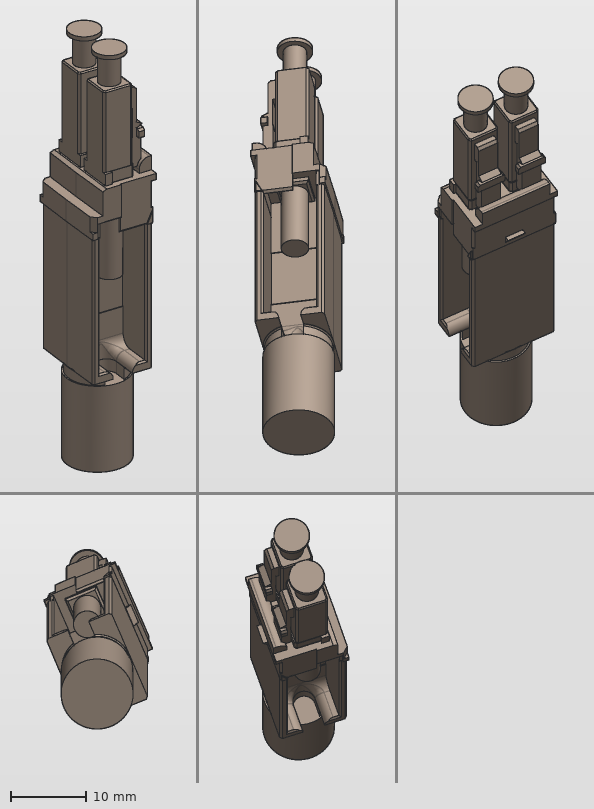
import cadquery as cq

TOTAL_LENGTH = 63.05
SLEEVE_TOP = 13.0
SHELL_BOTTOM = 14.8
FLOOR_TOP = 16.15
BOOT_BOTTOM = 28.95
SHELL_TOP = 36.75
CONNECTOR_BOTTOM = 38.15
COVER_UNDERSIDE = 39.0
SKIRT_TOP = 40.05
COVER_TOP = 43.95
FLANGE_TOP = 45.7
CONNECTOR_TOP = 57.95

SLEEVE_RADIUS = 4.8
NECK_RADIUS = 4.55
NECK_COLLAR_RADIUS = 4.7
NECK_COLLAR_HEIGHT = 0.25

SHELL_HALF_WIDTH = 6.35
SHELL_BACK = 4.7
SHELL_SIDE_FRONT = -4.65
SHELL_PEAK_FRONT = -4.7
SHELL_EDGE_CHAMFER = 0.3
BAY_BACK = 3.6
BAY_FRONT = -3.6
SEPTUM_HALF = 0.75
FLOOR_FILLET = 1.65
PANEL_BOTTOM = 21.8
PANEL_TOP = 30.6
PANEL_DEPTH = 0.1
SLOT_HALF_WIDTH = 1.5
SLOT_END_GAP = 0.05
SLOT_FLARE = 1.25
BAY_EDGE_BEVEL = 0.25
TONGUE_FRONT = -4.05

COVER_WIDTH = 13.2
COVER_FRONT_HALF_WIDTH = COVER_WIDTH / 2
COVER_STEP_Y = -0.4
COVER_SIDE_FRONT = -3.3
COVER_PEAK_FRONT = -3.35
COVER_TOP_CHAMFER_DROP = 0.3
COVER_TOP_CHAMFER_DEPTH = 0.7
SKIRT_SIDE_FRONT = -4.85
SKIRT_PEAK_FRONT = -4.9
SKIRT_CORNER = 0.75
SKIRT_CORNER_BOTTOM = 37.75
SIDE_PLATE_BOTTOM = 36.6
SIDE_PLATE_THICKNESS = 0.4
SIDE_PLATE_CHAMFER = 0.3
LIP_BACK = 5.3
LIP_BOTTOM = 43.0
BARB_HALF_WIDTH = 1.3
BARB_BACK = 5.4
BARB_TOP = 38.45
BARB_BOTTOM = 37.4
SIDE_TAB_FRONT = 3.7
SIDE_TAB_BACK = 4.55

TRIGGER_HALF_WIDTH = 5.2
TRIGGER_FRONT = 3.35
TRIGGER_TOP = 46.1
TRIGGER_ROUND = 1.6

PITCH = 6.25
AXES_X = (-PITCH / 2, PITCH / 2)
AXIS_Y = -0.095
CONNECTOR_SIZE = 4.55
CONNECTOR_EDGE_CHAMFER = 0.3
CONNECTOR_END_CHAMFER = 0.2
FLANGE_WIDTH = 5.35
FLANGE_DEPTH = 1.1
FOOT_BACK_STEP = 0.2
FOOT_SIDE_STEP = 0.05
BOOT_RADIUS = 1.8
CAP_PIN_RADIUS = 1.6
CAP_HEAD_DIAMETER = 4.7
CAP_HEAD_HEIGHT = 0.6

LATCH_WIDTH = 2.95
LATCH_BACK = 3.3
LATCH_FRONT = 2.65
LATCH_TOP = 56.9
LATCH_TIP_CHAMFER = 0.4
LATCH_ROOT_BOTTOM = 53.65
LATCH_RAMP_TOP = 51.45
LUG_WIDTH = 4.15
LUG_BACK = 4.15
LUG_TOP = 50.55
LUG_CHAMFER = 0.3
LUG_PEAK = 51.0
GRIP_TOP = 49.3
GRIP_BOTTOM = 44.75
GRIP_BACK = 4.0
GRIP_FRONT = 2.6


def box(x0, x1, y0, y1, z0, z1):
    """Block given by its limits along each axis."""
    return cq.Workplane("XY").box(x1 - x0, y1 - y0, z1 - z0, centered=False).translate((x0, y0, z0))


def cylinder(radius, z0, z1, x=0.0, y=0.0):
    """Upright cylinder between two levels."""
    return cq.Workplane("XY", origin=(x, y, z0)).circle(radius).extrude(z1 - z0)


def side_profile(points, half_width, x=0.0):
    """Prism with a (y, z) outline, centred on x."""
    outline = cq.Workplane("YZ", origin=(x, 0, 0)).polyline(points).close()
    return outline.extrude(half_width, both=True)


def peaked_block(half_width, back, side_front, peak_front, z0, z1):
    """Block whose front face is drafted to a slight ridge at x = 0."""
    plan = [(-half_width, back), (-half_width, side_front), (0, peak_front),
            (half_width, side_front), (half_width, back)]
    return cq.Workplane("XY", origin=(0, 0, z0)).polyline(plan).close().extrude(z1 - z0)


def both_sides(shape):
    """The shape together with its mirror image across x = 0."""
    return shape.union(shape.mirror("YZ"))


def make_sleeve():
    return cylinder(SLEEVE_RADIUS, 0, SLEEVE_TOP)


def side_bay():
    """Open bay on the -X side, with a floor curving up into the septum."""
    bay = box(-SHELL_HALF_WIDTH, -SEPTUM_HALF, BAY_FRONT, BAY_BACK, FLOOR_TOP, SHELL_TOP)
    return bay.edges("|Y and >X and <Z").fillet(FLOOR_FILLET)


def label_panel():
    """Shallow recess in the septum."""
    return box(-SHELL_HALF_WIDTH, -SEPTUM_HALF + PANEL_DEPTH, BAY_FRONT, BAY_BACK, PANEL_BOTTOM, PANEL_TOP)


def bay_bevel():
    """Bevel around the mouth of the -X bay."""
    depth = BAY_BACK - BAY_FRONT
    height = SHELL_TOP - FLOOR_TOP
    return (cq.Workplane("YZ", origin=(-SHELL_HALF_WIDTH, 0, 0))
            .center((BAY_FRONT + BAY_BACK) / 2, (FLOOR_TOP + SHELL_TOP) / 2)
            .rect(depth + 2 * BAY_EDGE_BEVEL, height + 2 * BAY_EDGE_BEVEL)
            .workplane(offset=BAY_EDGE_BEVEL).rect(depth, height).loft())


def cable_slot():
    """Round-ended slot that lets a cable leave the -X bay through floor and neck."""
    end_x = -SEPTUM_HALF - SLOT_HALF_WIDTH - SLOT_END_GAP
    top = FLOOR_TOP + FLOOR_FILLET
    straight = box(-SHELL_HALF_WIDTH, end_x, -SLOT_HALF_WIDTH, SLOT_HALF_WIDTH, SLEEVE_TOP, top)
    return straight.union(cylinder(SLOT_HALF_WIDTH, SLEEVE_TOP, top, end_x))


def round_slot_rims(shell):
    """Round the upper rims of both slots where they open into the bays."""
    margin = 0.05
    rim_zone = cq.selectors.BoxSelector(
        (-SHELL_HALF_WIDTH + margin, -SLOT_HALF_WIDTH - margin, FLOOR_TOP - margin),
        (SHELL_HALF_WIDTH - margin, SLOT_HALF_WIDTH + margin, FLOOR_TOP + FLOOR_FILLET))
    return shell.edges(rim_zone).edges("not |Z").fillet(SLOT_FLARE)


def make_neck():
    """Slotted ring between sleeve and shell, flared where it meets the shell."""
    collar_flare = NECK_COLLAR_RADIUS - NECK_RADIUS
    neck = cylinder(NECK_RADIUS, SLEEVE_TOP, SHELL_BOTTOM)
    collar = cylinder(NECK_COLLAR_RADIUS, SHELL_BOTTOM - NECK_COLLAR_HEIGHT, SHELL_BOTTOM)
    collar = collar.faces("<Z").chamfer(collar_flare)
    return neck.union(collar).cut(both_sides(cable_slot()))


def make_shell():
    shell = peaked_block(SHELL_HALF_WIDTH, SHELL_BACK, SHELL_SIDE_FRONT, SHELL_PEAK_FRONT,
                         SHELL_BOTTOM, SHELL_TOP)
    shell = shell.edges("|Z").edges("<X or >X").chamfer(SHELL_EDGE_CHAMFER)
    shell = shell.cut(both_sides(side_bay())).cut(both_sides(cable_slot()))
    shell = round_slot_rims(shell)
    shell = shell.cut(both_sides(label_panel())).cut(both_sides(bay_bevel()))
    septum_top = box(-SEPTUM_HALF, SEPTUM_HALF, BAY_FRONT, BAY_BACK, SHELL_TOP, COVER_UNDERSIDE)
    tongue = box(-SHELL_HALF_WIDTH, SHELL_HALF_WIDTH, TONGUE_FRONT, BAY_FRONT, SHELL_TOP, COVER_UNDERSIDE)
    return shell.union(septum_top).union(tongue)


def cover_block():
    """Main block; its front half is slightly wider than its back half."""
    back = box(-SHELL_HALF_WIDTH, SHELL_HALF_WIDTH, COVER_STEP_Y, SHELL_BACK, COVER_UNDERSIDE, COVER_TOP)
    back = back.edges("|Z and >Y").chamfer(SHELL_EDGE_CHAMFER)
    front = peaked_block(COVER_FRONT_HALF_WIDTH, COVER_STEP_Y, COVER_SIDE_FRONT, COVER_PEAK_FRONT,
                         COVER_UNDERSIDE, COVER_TOP)
    bevel = side_profile(
        [(COVER_PEAK_FRONT, COVER_TOP - COVER_TOP_CHAMFER_DROP),
         (COVER_PEAK_FRONT, COVER_TOP),
         (COVER_PEAK_FRONT + COVER_TOP_CHAMFER_DEPTH, COVER_TOP)],
        COVER_FRONT_HALF_WIDTH)
    lip = box(-SHELL_HALF_WIDTH, SHELL_HALF_WIDTH, BAY_BACK, LIP_BACK, LIP_BOTTOM, COVER_TOP)
    return back.union(front).cut(bevel).union(lip)


def skirt():
    """Front apron over the shell, its corners cut off above a square foot."""
    apron = peaked_block(COVER_FRONT_HALF_WIDTH, TONGUE_FRONT, SKIRT_SIDE_FRONT, SKIRT_PEAK_FRONT,
                         SHELL_TOP, SKIRT_TOP)
    corner = (cq.Workplane("XY", origin=(0, 0, SKIRT_CORNER_BOTTOM))
              .polyline([(-COVER_FRONT_HALF_WIDTH, SKIRT_SIDE_FRONT + SKIRT_CORNER),
                         (-COVER_FRONT_HALF_WIDTH, SKIRT_PEAK_FRONT),
                         (-COVER_FRONT_HALF_WIDTH + SKIRT_CORNER, SKIRT_PEAK_FRONT)])
              .close().extrude(SKIRT_TOP - SKIRT_CORNER_BOTTOM))
    shelf = box(-COVER_FRONT_HALF_WIDTH, COVER_FRONT_HALF_WIDTH, TONGUE_FRONT, COVER_SIDE_FRONT,
                COVER_UNDERSIDE, SKIRT_TOP)
    return apron.cut(both_sides(corner)).union(shelf)


def side_plate():
    """Thin plate closing the top of the -X bay, bevelled along its lower edge."""
    plate = box(-SHELL_HALF_WIDTH, -SHELL_HALF_WIDTH + SIDE_PLATE_THICKNESS, COVER_STEP_Y, BAY_BACK,
                SIDE_PLATE_BOTTOM, COVER_UNDERSIDE)
    return plate.edges("<X and <Z").chamfer(SIDE_PLATE_CHAMFER)


def side_tab():
    """Small catch wedge on the -X side near the back."""
    return (cq.Workplane("YZ", origin=(-COVER_FRONT_HALF_WIDTH, 0, 0))
            .polyline([(SIDE_TAB_BACK, SHELL_TOP), (SIDE_TAB_FRONT, SHELL_TOP),
                       (SIDE_TAB_BACK, BARB_TOP)])
            .close().extrude(COVER_FRONT_HALF_WIDTH - SHELL_HALF_WIDTH))


def trigger_bar():
    """Push bar across both latches, rounded towards them."""
    bar = box(-TRIGGER_HALF_WIDTH, TRIGGER_HALF_WIDTH, TRIGGER_FRONT, LIP_BACK, COVER_TOP, TRIGGER_TOP)
    return bar.edges("<Y and >Z").fillet(TRIGGER_ROUND)


def square_block(x, z0, z1):
    """Block with the connector's square section, on the connector axis at x."""
    side = CONNECTOR_SIZE
    return cq.Workplane("XY", origin=(x, AXIS_Y, z0)).rect(side, side).extrude(z1 - z0)


def make_cover():
    back_wall = box(-SHELL_HALF_WIDTH, SHELL_HALF_WIDTH, BAY_BACK, SHELL_BACK, SHELL_TOP, COVER_UNDERSIDE)
    barb = side_profile([(SHELL_BACK, BARB_TOP), (BARB_BACK, BARB_TOP), (SHELL_BACK, BARB_BOTTOM)],
                        BARB_HALF_WIDTH)
    cover = cover_block().union(skirt()).union(back_wall).union(barb)
    cover = cover.union(both_sides(side_plate())).union(both_sides(side_tab())).union(trigger_bar())
    for x in AXES_X:
        cover = cover.cut(square_block(x, SHELL_TOP, COVER_TOP))
    return cover


def latch(x):
    """Flexible lever with two side lugs and a thicker grip at its free end."""
    root_y = AXIS_Y + CONNECTOR_SIZE / 2
    arm = side_profile(
        [(root_y, LATCH_TOP), (LATCH_BACK - LATCH_TIP_CHAMFER, LATCH_TOP),
         (LATCH_BACK, LATCH_TOP - LATCH_TIP_CHAMFER), (LATCH_BACK, LATCH_RAMP_TOP),
         (LUG_BACK, LUG_PEAK), (LATCH_BACK, LUG_TOP), (LATCH_BACK, GRIP_TOP),
         (LATCH_FRONT, GRIP_TOP), (LATCH_FRONT, LATCH_ROOT_BOTTOM), (root_y, LATCH_ROOT_BOTTOM)],
        LATCH_WIDTH / 2, x)
    lugs = box(x - LUG_WIDTH / 2, x + LUG_WIDTH / 2, LATCH_BACK, LUG_BACK, GRIP_TOP, LUG_TOP)
    lugs = lugs.edges("|Y and >Z").chamfer(LUG_CHAMFER)
    grip = box(x - LATCH_WIDTH / 2, x + LATCH_WIDTH / 2, GRIP_FRONT, GRIP_BACK, GRIP_BOTTOM, GRIP_TOP)
    return arm.union(lugs).union(grip).cut(trigger_bar())


def make_connector(x):
    front = AXIS_Y - CONNECTOR_SIZE / 2
    back = AXIS_Y + CONNECTOR_SIZE / 2
    foot_half = CONNECTOR_SIZE / 2 + FOOT_SIDE_STEP
    lower = square_block(x, CONNECTOR_BOTTOM, COVER_TOP)
    lower = lower.faces("<Z").chamfer(CONNECTOR_EDGE_CHAMFER)
    foot = box(x - foot_half, x + foot_half, front, back + FOOT_BACK_STEP, COVER_TOP, FLANGE_TOP)
    foot = foot.edges("|Z and >Y").chamfer(CONNECTOR_EDGE_CHAMFER)
    flange = box(x - FLANGE_WIDTH / 2, x + FLANGE_WIDTH / 2, front, front + FLANGE_DEPTH,
                 COVER_TOP, FLANGE_TOP)
    upper = square_block(x, FLANGE_TOP, CONNECTOR_TOP).edges("|Z").chamfer(CONNECTOR_EDGE_CHAMFER)
    upper = upper.faces(">Z").chamfer(CONNECTOR_END_CHAMFER)
    return lower.union(foot).union(flange).union(upper).union(latch(x))


def make_boot(x):
    return cylinder(BOOT_RADIUS, BOOT_BOTTOM, CONNECTOR_BOTTOM, x, AXIS_Y)


def make_dust_cap(x):
    head_bottom = TOTAL_LENGTH - CAP_HEAD_HEIGHT
    pin = cylinder(CAP_PIN_RADIUS, CONNECTOR_TOP, head_bottom, x, AXIS_Y)
    return pin.union(cylinder(CAP_HEAD_DIAMETER / 2, head_bottom, TOTAL_LENGTH, x, AXIS_Y))


sleeve = make_sleeve()
neck = make_neck()
shell = make_shell()
cover = make_cover()
connectors = [make_connector(x) for x in AXES_X]
boots = [make_boot(x) for x in AXES_X]
dust_caps = [make_dust_cap(x) for x in AXES_X]

result = cq.Compound.makeCompound([
    body.val() for body in [sleeve, neck, shell, cover, *connectors, *boots, *dust_caps]
])